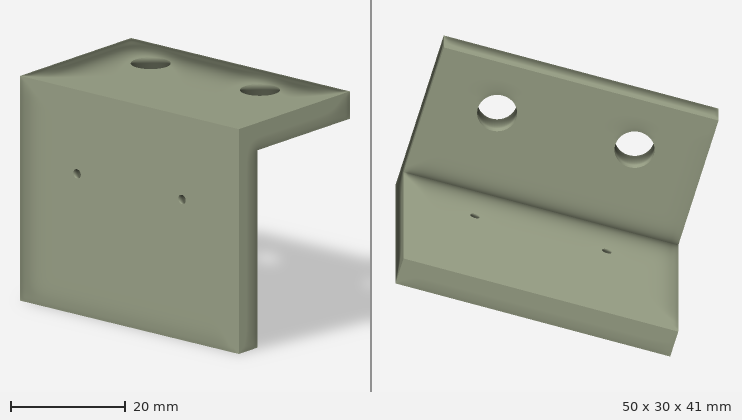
import cadquery as cq

width = 50
depth = 30
height = 41
thickness = 5

flange_hole_diameter = 7
flange_hole_spacing = width / 2
flange_hole_from_back = 9.5

plate_hole_diameter = 1.7
plate_hole_spacing = 24
plate_hole_from_top = 15.35


def bracket_body():
    """Vertical plate at the front joined to a horizontal flange at the top."""
    plate = cq.Workplane("XY").box(width, thickness, height, centered=(True, False, False))
    flange = (
        cq.Workplane("XY")
        .workplane(offset=height - thickness)
        .box(width, depth, thickness, centered=(True, False, False))
    )
    return plate.union(flange)


def flange_holes():
    """Pair of vertical cylinders that cut through the flange."""
    y = depth - flange_hole_from_back
    return (
        cq.Workplane("XY")
        .workplane(offset=height - thickness)
        .pushPoints([(side * flange_hole_spacing / 2, y) for side in (-1, 1)])
        .circle(flange_hole_diameter / 2)
        .extrude(thickness)
    )


def plate_holes():
    """Pair of cylinders along Y that cut through the vertical plate."""
    z = height - plate_hole_from_top
    return (
        cq.Workplane("XZ")
        .pushPoints([(side * plate_hole_spacing / 2, z) for side in (-1, 1)])
        .circle(plate_hole_diameter / 2)
        .extrude(-thickness)
    )


result = bracket_body().cut(flange_holes()).cut(plate_holes())